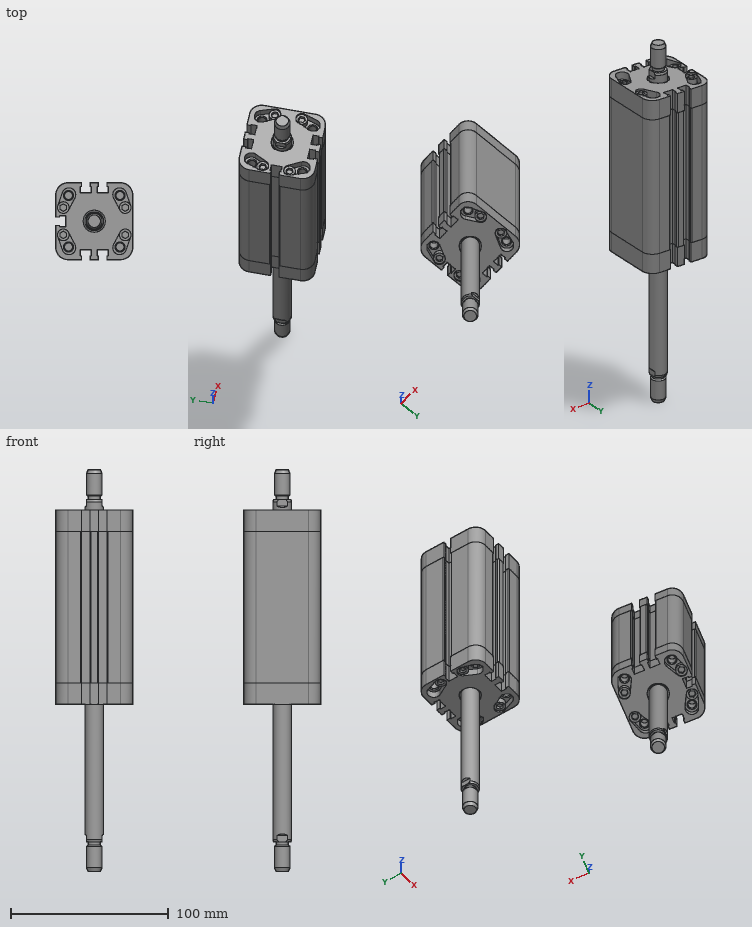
import cadquery as cq
import math

body_width = 49.0
corner_radius = 8.0
cap_height = 13.8
barrel_height = 96.0

total_height = 255.0
rod_top_projection = 25.5
cap_top_z = total_height - rod_top_projection
barrel_top_z = cap_top_z - cap_height
barrel_bottom_z = barrel_top_z - barrel_height

slot_mouth_width = 5.4
slot_width = 7.0
slot_depth = 6.5
slot_lip = 2.5
slot_mouth_chamfer = 0.8
slot_offset = 5.4

rod_diameter = 12.0
thread_diameter = 10.0
thread_tip_diameter = 8.0
neck_diameter = 8.0
thread_end_length = 18.9
tip_chamfer_length = 2.5
neck_length = 2.0
neck_cone_length = 0.8
shoulder_chamfer_height = 1.5
shoulder_chamfer = 0.5
flat_length = 5.0
flats_width = 10.0

rod_recess_diameter = 14.0
rod_recess_depth = 1.3

mount_offset = 16.3
pocket_x = 16.0
pocket_y = 16.8
pocket_end_diameter = 8.7
thread_hole_diameter = 5.0
thread_mouth_diameter = 6.5
screw_x = 19.6
screw_y = 8.7
screw_head_diameter = 7.5
screw_socket_width = 4.0
screw_socket_depth = 2.0
screw_head_drop = 1.3
pocket_depth = 5.0


def slot_cutter(height, mouth_chamfer):
    """T-slot running up Z, with its mouth on the XZ plane facing -Y."""
    half_mouth = slot_mouth_width / 2
    half_slot = slot_width / 2
    right = [
        (half_mouth, mouth_chamfer),
        (half_mouth, slot_lip),
        (half_slot, slot_lip),
        (half_slot, slot_depth),
    ]
    if mouth_chamfer > 0:
        right.insert(0, (half_mouth + mouth_chamfer, 0))
    left = [(-x, y) for x, y in reversed(right)]
    return cq.Workplane("XY").polyline(right + left).close().extrude(height)


def body_section(height, mouth_chamfer):
    """Length of the slotted square body, with a bore for the rod."""
    block = cq.Workplane("XY").rect(body_width, body_width).extrude(height)
    block = block.edges("|Z").fillet(corner_radius)
    slot = slot_cutter(height, mouth_chamfer)
    for x in (-slot_offset, slot_offset):
        front_slot = slot.translate((x, -body_width / 2, 0))
        block = block.cut(front_slot).cut(front_slot.mirror("XZ"))
    side_slot = slot.translate((0, -body_width / 2, 0)).rotate((0, 0, 0), (0, 0, 1), -90)
    block = block.cut(side_slot)
    return block.cut(cq.Workplane("XY").circle(rod_diameter / 2).extrude(height))


def corner_pocket():
    """Tapered pocket from the cap face round a mounting hole and a screw head, at +X +Y."""
    dx = screw_x - pocket_x
    dy = screw_y - pocket_y
    span = math.hypot(dx, dy)
    mount_end_radius = pocket_end_diameter / 2
    screw_end_radius = screw_head_diameter / 2
    heading = math.atan2(dy, dx)
    lean = math.acos((mount_end_radius - screw_end_radius) / span)
    tangents = []
    for angle in (heading + lean, heading - lean):
        ux = math.cos(angle)
        uy = math.sin(angle)
        tangents.append((pocket_x + mount_end_radius * ux, pocket_y + mount_end_radius * uy))
        tangents.append((screw_x + screw_end_radius * ux, screw_y + screw_end_radius * uy))
    pocket_far = (pocket_x - mount_end_radius * dx / span, pocket_y - mount_end_radius * dy / span)
    screw_far = (screw_x + screw_end_radius * dx / span, screw_y + screw_end_radius * dy / span)
    floor_z = cap_height - pocket_depth
    pocket = (
        cq.Workplane("XY", origin=(0, 0, floor_z))
        .moveTo(*tangents[0])
        .lineTo(*tangents[1])
        .threePointArc(screw_far, tangents[3])
        .lineTo(*tangents[2])
        .threePointArc(pocket_far, tangents[0])
        .close()
        .extrude(pocket_depth)
    )
    return pocket.cut(screw_head()).union(mount_hole())


def screw_head():
    """Round socket head left standing in the pocket."""
    floor_z = cap_height - pocket_depth
    head_z = cap_height - screw_head_drop
    head = (
        cq.Workplane("XY", origin=(screw_x, screw_y, floor_z))
        .circle(screw_head_diameter / 2)
        .extrude(head_z - floor_z)
    )
    socket = (
        cq.Workplane("XY", origin=(screw_x, screw_y, head_z - screw_socket_depth))
        .polygon(6, screw_socket_width, circumscribed=True)
        .extrude(screw_socket_depth)
    )
    return head.cut(socket)


def mount_hole():
    """Threaded mounting hole below the pocket floor, with a 45 degree mouth."""
    floor_z = cap_height - pocket_depth
    mouth_depth = (thread_mouth_diameter - thread_hole_diameter) / 2
    return (
        cq.Workplane("XZ")
        .moveTo(0, 0)
        .lineTo(thread_hole_diameter / 2, 0)
        .lineTo(thread_hole_diameter / 2, floor_z - mouth_depth)
        .lineTo(thread_mouth_diameter / 2, floor_z)
        .lineTo(0, floor_z)
        .close()
        .revolve(360, (0, 0, 0), (0, 1, 0))
        .translate((mount_offset, mount_offset, 0))
    )


def make_cap():
    """End cap with its outer face up at cap_height."""
    cap = body_section(cap_height, 0)
    rod_recess = (
        cq.Workplane("XY", origin=(0, 0, cap_height - rod_recess_depth))
        .circle(rod_recess_diameter / 2)
        .extrude(rod_recess_depth)
    )
    cap = cap.cut(rod_recess)
    pocket = corner_pocket()
    for corner in (pocket, pocket.mirror("YZ")):
        cap = cap.cut(corner).cut(corner.mirror("XZ"))
    return cap


def rod_end_profile():
    """Radius and distance from the tip along one rod end, from tip to full rod."""
    rod_radius = rod_diameter / 2
    thread_radius = thread_diameter / 2
    neck_radius = neck_diameter / 2
    neck_start = thread_end_length - neck_length
    return [
        (thread_tip_diameter / 2, 0),
        (thread_radius, tip_chamfer_length),
        (thread_radius, neck_start - neck_cone_length),
        (neck_radius, neck_start),
        (neck_radius, thread_end_length),
        (rod_radius - shoulder_chamfer, thread_end_length),
        (rod_radius, thread_end_length + shoulder_chamfer_height),
    ]


def wrench_flats():
    """Cutter for the two wrench flats above the lower shoulder, running out at 45 degrees."""
    flat_x = flats_width / 2
    flat_end_z = thread_end_length + flat_length
    runout = rod_diameter / 2 - flat_x
    side_outline = [
        (flat_x, thread_end_length),
        (flat_x, flat_end_z - runout),
        (flat_x + 2 * runout, flat_end_z + runout),
        (flat_x + 2 * runout, thread_end_length),
    ]
    side = cq.Workplane("XZ").polyline(side_outline).close().extrude(rod_diameter, both=True)
    return side.union(side.mirror("YZ"))


def make_rod():
    """Through rod with a threaded end above and below the body."""
    lower = rod_end_profile()
    upper = [(radius, total_height - z) for radius, z in reversed(lower)]
    rod = (
        cq.Workplane("XZ")
        .polyline([(0, 0)] + lower + upper + [(0, total_height)])
        .close()
        .revolve(360, (0, 0, 0), (0, 1, 0))
    )
    flats = wrench_flats()
    return rod.cut(flats).cut(flats.mirror("XY").translate((0, 0, total_height)))


barrel = body_section(barrel_height, slot_mouth_chamfer).translate((0, 0, barrel_bottom_z))
cap = make_cap()
top_cap = cap.translate((0, 0, barrel_top_z))
bottom_cap = cap.mirror("XY").translate((0, 0, barrel_bottom_z))
rod = make_rod()

result = cq.Compound.makeCompound([barrel.val(), top_cap.val(), bottom_cap.val(), rod.val()])